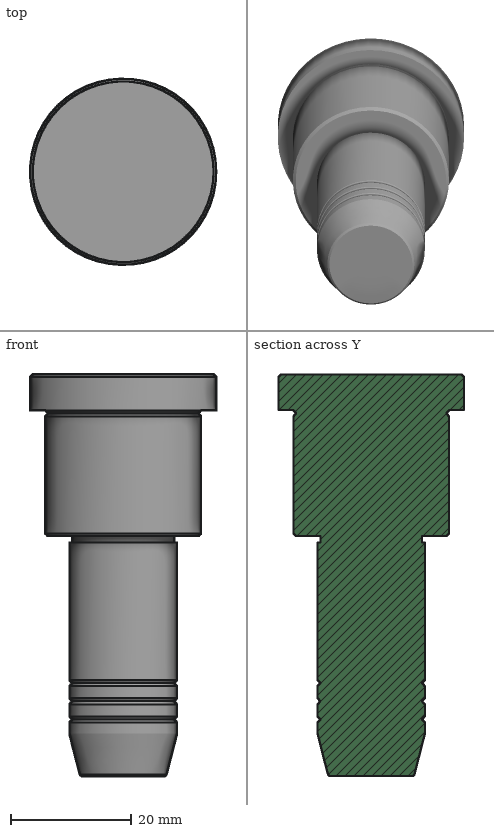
import cadquery as cq

total_height = 67.0
head_height = 6.0
head_radius = 15.51
edge_chamfer = 0.5

collar_radius = 13.0
collar_length = 21.0

shank_radius = 9.0
relief_radius = 8.5
relief_length = 1.0

taper_height = 7.1
taper_end_radius = 7.25
tip_chamfer = 0.35

groove_count = 3
groove_pitch = 3.0
groove_width = 1.0
groove_depth = 0.5
lowest_groove_z = 9.5

head_bottom = total_height - head_height
collar_bottom = head_bottom - collar_length
shank_top = collar_bottom - relief_length


def turned_body():
    """Head, collar, shank and tip revolved from one half profile in XZ."""
    profile = [
        (0, 0),
        (taper_end_radius - tip_chamfer, 0),
        (taper_end_radius, tip_chamfer),
        (shank_radius, taper_height),
        (shank_radius, shank_top),
        (relief_radius, shank_top),
        (relief_radius, collar_bottom),
        (collar_radius - edge_chamfer, collar_bottom),
        (collar_radius, collar_bottom + edge_chamfer),
        (collar_radius, head_bottom),
        (head_radius, head_bottom),
        (head_radius, total_height - edge_chamfer),
        (head_radius - edge_chamfer, total_height),
        (0, total_height),
    ]
    return cq.Workplane("XZ").polyline(profile).close().revolve(360, (0, 0), (0, 1))


def groove_cutter(surface_radius, center_z):
    """Triangular ring with its point toward the axis."""
    half_width = groove_width / 2
    section = [
        (surface_radius - groove_depth, center_z),
        (surface_radius, center_z + half_width),
        (surface_radius + groove_depth, center_z + half_width),
        (surface_radius + groove_depth, center_z - half_width),
        (surface_radius, center_z - half_width),
    ]
    return cq.Workplane("XZ").polyline(section).close().revolve(360, (0, 0), (0, 1))


result = turned_body()
result = result.cut(groove_cutter(collar_radius, head_bottom - groove_width / 2))
for index in range(groove_count):
    result = result.cut(groove_cutter(shank_radius, lowest_groove_z + index * groove_pitch))